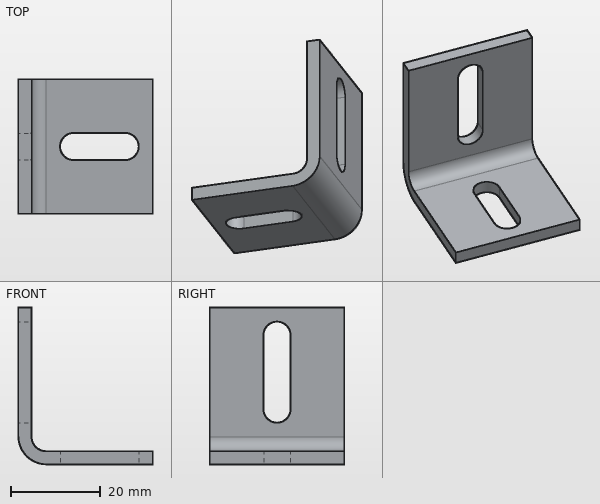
import cadquery as cq

length_x = 30.0
width_y = 30.0
height_z = 35.0
thickness = 3.0

inner_radius = 3.175
outer_radius = 2 * inner_radius

slot_width = 6.0
slot_margin = inner_radius


def make_angle():
    """L-shaped sheet with a rounded bend along Y."""
    legs = (
        cq.Workplane("XZ")
        .polyline([
            (0, 0),
            (length_x, 0),
            (length_x, thickness),
            (thickness, thickness),
            (thickness, height_z),
            (0, height_z),
        ])
        .close()
        .extrude(width_y / 2, both=True)
    )
    outer_corner = cq.selectors.NearestToPointSelector((0, 0, 0))
    inner_corner = cq.selectors.NearestToPointSelector((thickness, 0, thickness))
    bent = legs.edges(outer_corner).fillet(outer_radius)
    return bent.edges(inner_corner).fillet(inner_radius)


def make_slot_cutter(leg_length):
    """Slot body along X through the floor of a leg of the given length."""
    slot_start = thickness + inner_radius + slot_margin
    slot_end = leg_length - slot_margin
    return (
        cq.Workplane("XY")
        .center((slot_start + slot_end) / 2, 0)
        .slot2D(slot_end - slot_start, slot_width)
        .extrude(thickness)
    )


def stand_upright(floor_body):
    """Turn a body from the horizontal leg into the vertical leg, swapping X and Z."""
    quarter_turn = -90
    turned = floor_body.rotate((0, 0, 0), (0, 1, 0), quarter_turn)
    return turned.translate((thickness, 0, 0))


floor_slot = make_slot_cutter(length_x)
wall_slot = stand_upright(make_slot_cutter(height_z))

result = make_angle().cut(floor_slot).cut(wall_slot)